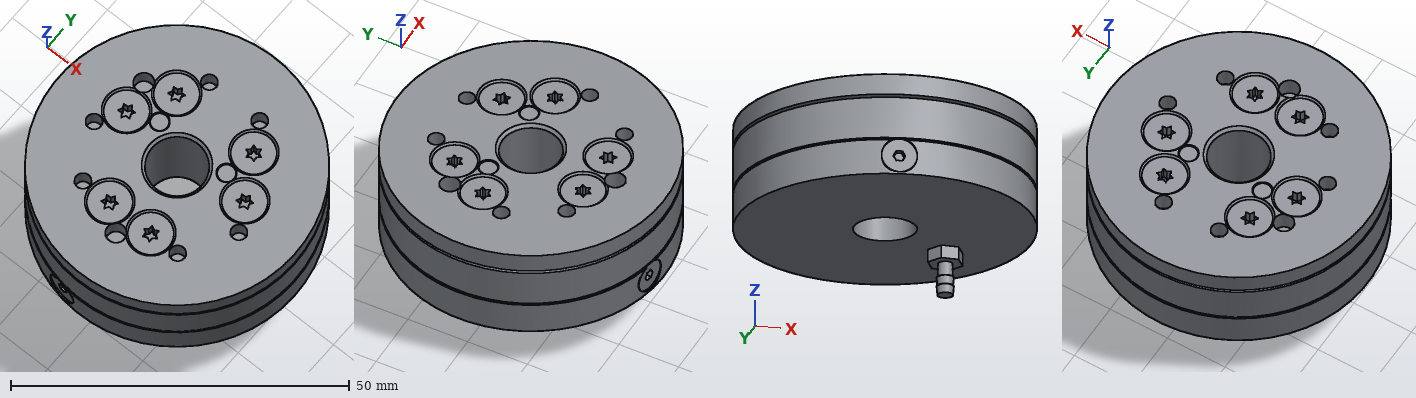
import cadquery as cq
import math

HEX_SIDES = 6
BODY_DIA = 45.0
BASE_HEIGHT = 5.45
SEAM_HEIGHT = 0.25
SEAM_DIA = 44.75
MIDDLE_HEIGHT = 6.4
GAP_HEIGHT = 0.5
GAP_DIA = 40.0
PLATE_HEIGHT = 3.2

BORE_DIA = 9.5
BORE_CHAMFER = 0.5

STATION_ANGLES = (30, 150, 270)
SCREW_CIRCLE_RADIUS = 11.52
SCREW_OFFSET = 20
SCREW_HEAD_DIA = 6.8
SCREW_RECESS_DEPTH = 0.3
STAR_TIP_RADIUS = 1.25
STAR_VALLEY_RADIUS = 0.75
STAR_POINTS = 6
STAR_DEPTH = 2.0
STAR_TURN = {50: 10, 290: 0}
USUAL_STAR_TURN = 30

HOLE_CIRCLE_RADIUS = 14.15
THREAD_HOLE_DIA = 2.5
THREAD_HOLE_OFFSET = 40
DOWEL_HOLE_DIA = 3.15
DOWEL_ANGLES = (150, 270)

PIN_CIRCLE_RADIUS = 7.43
PIN_DIA = 2.8
PIN_RECESS_DEPTH = 0.15
PIN_ANGLES = (30, 150)

PLUG_ANGLE = 260
PLUG_DIA = 5.3
PLUG_HEIGHT = 2.95
PLUG_FACE_RADIUS = 22.2
PLUG_HEX_DIA = 1.75
PLUG_HEX_DEPTH = 1.0

FITTING_CIRCLE_RADIUS = 12.7
FITTING_ANGLE = 30
FITTING_HEX_DIA = 5.4
FITTING_HEX_TURN = 2
FITTING_HEX_HEIGHT = 2.0
NECK_DIA = 2.2
NECK_LENGTH = 2.2
BARB_DIA = 2.6
BARB_TIP_DIA = 2.35
BARB_COUNT = 2
NIPPLE_LENGTH = 4.95

TOP_Z = BASE_HEIGHT + SEAM_HEIGHT + MIDDLE_HEIGHT + GAP_HEIGHT + PLATE_HEIGHT


def polar(radius, angle):
    """Point at a radius and an angle in degrees around the main axis."""
    return (radius * math.cos(math.radians(angle)), radius * math.sin(math.radians(angle)))


def conical_recess(center, floor_dia, depth):
    """45 degree recess sunk into the top face."""
    return (
        cq.Workplane("XY", origin=(*center, TOP_Z - depth))
        .circle(floor_dia / 2)
        .workplane(offset=depth)
        .circle(floor_dia / 2 + depth)
        .loft(ruled=True)
    )


def top_hole(center, dia, depth):
    return cq.Workplane("XY", origin=(*center, TOP_Z - depth)).circle(dia / 2).extrude(depth)


def star_socket(center, turn):
    """Six-pointed drive socket with straight flanks, below the screw recess."""
    step = 360 / STAR_POINTS
    corners = []
    for i in range(STAR_POINTS):
        corners.append(polar(STAR_TIP_RADIUS, turn + i * step))
        corners.append(polar(STAR_VALLEY_RADIUS, turn + (i + 0.5) * step))
    plane = cq.Workplane("XY", origin=(*center, TOP_Z - SCREW_RECESS_DEPTH))
    return plane.polyline(corners).close().extrude(-STAR_DEPTH)


def stacked_body():
    """Discs and grooves stacked upward from the bottom face."""
    layers = (
        (BODY_DIA, BASE_HEIGHT),
        (SEAM_DIA, SEAM_HEIGHT),
        (BODY_DIA, MIDDLE_HEIGHT),
        (GAP_DIA, GAP_HEIGHT),
        (BODY_DIA, PLATE_HEIGHT),
    )
    stack = cq.Workplane("XY")
    level = 0
    for dia, height in layers:
        stack = stack.union(cq.Workplane("XY", origin=(0, 0, level)).circle(dia / 2).extrude(height))
        level += height
    return stack


def cut_top_pattern(solid):
    """Screw recesses, pin recesses and blind holes in the top plate."""
    for station in STATION_ANGLES:
        for side in (-1, 1):
            screw_angle = station + side * SCREW_OFFSET
            screw = polar(SCREW_CIRCLE_RADIUS, screw_angle)
            turn = STAR_TURN.get(screw_angle, USUAL_STAR_TURN)
            solid = solid.cut(conical_recess(screw, SCREW_HEAD_DIA, SCREW_RECESS_DEPTH))
            solid = solid.cut(star_socket(screw, turn))
            thread = polar(HOLE_CIRCLE_RADIUS, station + side * THREAD_HOLE_OFFSET)
            solid = solid.cut(top_hole(thread, THREAD_HOLE_DIA, PLATE_HEIGHT))
    for angle in DOWEL_ANGLES:
        dowel = polar(HOLE_CIRCLE_RADIUS, angle)
        solid = solid.cut(top_hole(dowel, DOWEL_HOLE_DIA, PLATE_HEIGHT))
    for angle in PIN_ANGLES:
        pin = polar(PIN_CIRCLE_RADIUS, angle)
        solid = solid.cut(conical_recess(pin, PIN_DIA, PIN_RECESS_DEPTH))
    return solid


def cut_side_plug(solid):
    """Flat plug face with a hex socket, facing radially outward."""
    plane = cq.Plane(
        origin=(*polar(PLUG_FACE_RADIUS, PLUG_ANGLE), PLUG_HEIGHT),
        xDir=(*polar(1, PLUG_ANGLE + 90), 0),
        normal=(*polar(1, PLUG_ANGLE), 0),
    )
    face = cq.Workplane(plane).circle(PLUG_DIA / 2).extrude(BODY_DIA / 2 - PLUG_FACE_RADIUS)
    socket = cq.Workplane(plane).polygon(HEX_SIDES, PLUG_HEX_DIA).extrude(-PLUG_HEX_DEPTH)
    return solid.cut(face).cut(socket)


def hose_fitting():
    """Hex base with a barbed nipple pointing down."""
    center = polar(FITTING_CIRCLE_RADIUS, FITTING_ANGLE)
    nut = (
        cq.Workplane("XY", origin=(*center, 0))
        .transformed(rotate=(0, 0, FITTING_HEX_TURN))
        .polygon(HEX_SIDES, FITTING_HEX_DIA)
        .extrude(-FITTING_HEX_HEIGHT)
    )
    barb_length = (NIPPLE_LENGTH - NECK_LENGTH) / BARB_COUNT
    level = -FITTING_HEX_HEIGHT - NECK_LENGTH
    profile = cq.Workplane("XZ").moveTo(0, -FITTING_HEX_HEIGHT)
    profile = profile.lineTo(NECK_DIA / 2, -FITTING_HEX_HEIGHT).lineTo(NECK_DIA / 2, level)
    for _ in range(BARB_COUNT):
        profile = profile.lineTo(BARB_DIA / 2, level)
        level -= barb_length
        profile = profile.lineTo(BARB_TIP_DIA / 2, level)
    nipple = profile.lineTo(0, level).close().revolve(360, (0, 0, 0), (0, 1, 0))
    return nut.union(nipple.translate((*center, 0)))


body = stacked_body()
body = body.cut(top_hole((0, 0), BORE_DIA, TOP_Z))
body = body.cut(conical_recess((0, 0), BORE_DIA, BORE_CHAMFER))
body = cut_top_pattern(body)
body = cut_side_plug(body)
result = body.union(hose_fitting())